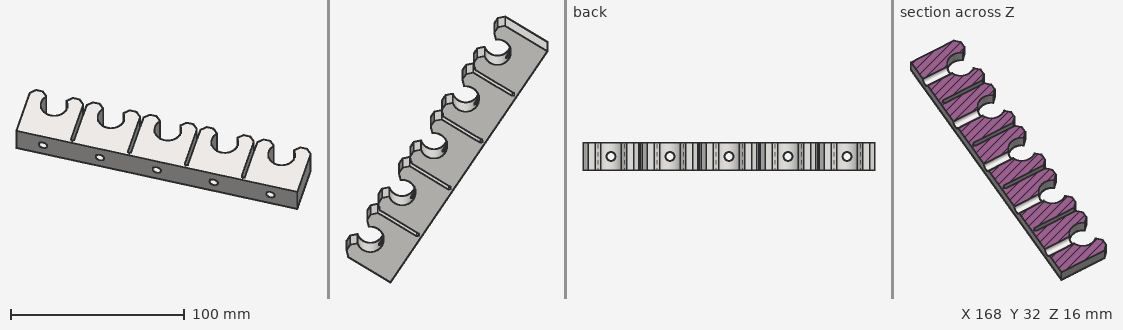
import cadquery as cq

block_count = 5
block_width = 32.0
depth = 32.0
height = 16.0
slot_width = 2.0
web_thickness = 1.5
pitch = block_width + slot_width
length = block_count * pitch - slot_width

cradle_diameter = 15.5
cradle_inset = 8.0
cradle_centre_y = depth - cradle_inset
corner_chamfer = 3.0
mouth_depth = 3.0
throat_width = 12.0
mouth_width = throat_width + 2 * mouth_depth

screw_hole_diameter = 5.0


def block_centre_x(index):
    return block_width / 2 + index * pitch


def make_bar():
    return cq.Workplane("XY").box(length, depth, height, centered=False)


def make_slot(index):
    """V-ended slot between block `index` and the next one."""
    tip_depth = slot_width / 2
    left = block_width + index * pitch
    right = left + slot_width
    tip_start_y = web_thickness + tip_depth
    return (
        cq.Workplane("XY")
        .moveTo(left, depth)
        .lineTo(left, tip_start_y)
        .lineTo(left + tip_depth, web_thickness)
        .lineTo(right, tip_start_y)
        .lineTo(right, depth)
        .close()
        .extrude(height)
    )


def make_cradle(index):
    """Round seat plus the flared mouth that opens it towards +Y."""
    x = block_centre_x(index)
    seat = cq.Workplane("XY").center(x, cradle_centre_y).circle(cradle_diameter / 2).extrude(height)
    mouth = (
        cq.Workplane("XY")
        .moveTo(x - mouth_width / 2, depth)
        .lineTo(x - throat_width / 2, depth - mouth_depth)
        .lineTo(x - throat_width / 2, cradle_centre_y)
        .lineTo(x + throat_width / 2, cradle_centre_y)
        .lineTo(x + throat_width / 2, depth - mouth_depth)
        .lineTo(x + mouth_width / 2, depth)
        .close()
        .extrude(height)
    )
    return seat.union(mouth)


def make_corner(corner_x, inward):
    """Triangular prism that chamfers a +Y corner; `inward` is +1 or -1 along X."""
    return (
        cq.Workplane("XY")
        .moveTo(corner_x, depth)
        .lineTo(corner_x + inward * corner_chamfer, depth)
        .lineTo(corner_x, depth - corner_chamfer)
        .close()
        .extrude(height)
    )


def make_screw_hole(index):
    """Hole along Y from the -Y face to the middle of the cradle."""
    return (
        cq.Workplane("XZ")
        .center(block_centre_x(index), height / 2)
        .circle(screw_hole_diameter / 2)
        .extrude(-cradle_centre_y)
    )


result = make_bar()
for block in range(block_count):
    centre_x = block_centre_x(block)
    result = result.cut(make_cradle(block))
    result = result.cut(make_screw_hole(block))
    result = result.cut(make_corner(centre_x - block_width / 2, 1))
    result = result.cut(make_corner(centre_x + block_width / 2, -1))
for gap in range(block_count - 1):
    result = result.cut(make_slot(gap))